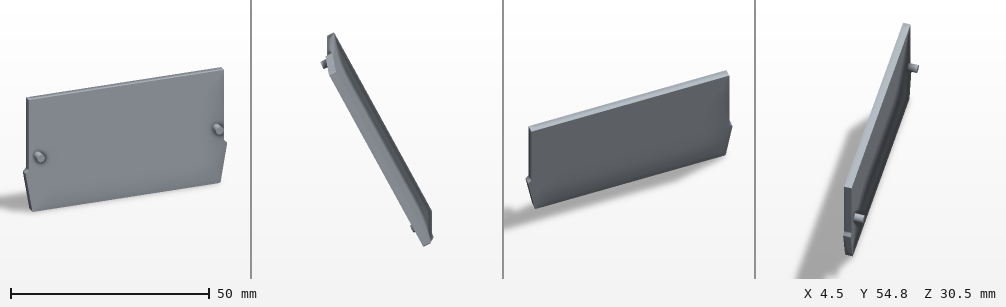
import cadquery as cq
import math

plate_thickness = 2.0
plate_height = 30.5
overall_width = 54.8
upper_width = 53.1

base_width = 51.15
taper_angle = math.radians(9.9)
shoulder_angle = math.radians(45)
shoulder_radius = 0.3
neck_radius = 0.45
base_radius = 0.35

pin_diameter = 2.05
pin_length = 2.5
pin_spacing = 48.6
pin_offset = 0.05
pin_height = plate_height / 2

mean_normal = (shoulder_angle - taper_angle) / 2
half_turn = (shoulder_angle + taper_angle) / 2
corner_overshoot = shoulder_radius * (math.cos(mean_normal) / math.cos(half_turn) - 1)
shoulder_y = overall_width / 2 + corner_overshoot
shoulder_z = (shoulder_y - base_width / 2) / math.tan(taper_angle)
neck_z = shoulder_z + (shoulder_y - upper_width / 2) / math.tan(shoulder_angle)


def round_corner_pair(body, y, z, radius):
    """Round the two mirrored edges along X that pass through (+y, z) and (-y, z)."""
    for side in (-1, 1):
        corner = (plate_thickness / 2, side * y, z)
        body = body.edges(cq.selectors.NearestToPointSelector(corner)).fillet(radius)
    return body


def make_plate():
    half_outline = [
        (base_width / 2, 0),
        (shoulder_y, shoulder_z),
        (upper_width / 2, neck_z),
        (upper_width / 2, plate_height),
    ]
    mirrored_outline = [(-y, z) for y, z in reversed(half_outline)]
    outline = half_outline + mirrored_outline
    plate = cq.Workplane("YZ").polyline(outline).close().extrude(plate_thickness)
    plate = round_corner_pair(plate, upper_width / 2, neck_z, neck_radius)
    plate = round_corner_pair(plate, shoulder_y, shoulder_z, shoulder_radius)
    return round_corner_pair(plate, base_width / 2, 0, base_radius)


def make_pins():
    return (
        cq.Workplane("YZ")
        .pushPoints([(pin_offset + side * pin_spacing / 2, pin_height) for side in (-1, 1)])
        .circle(pin_diameter / 2)
        .extrude(plate_thickness + pin_length)
    )


result = make_plate().union(make_pins())